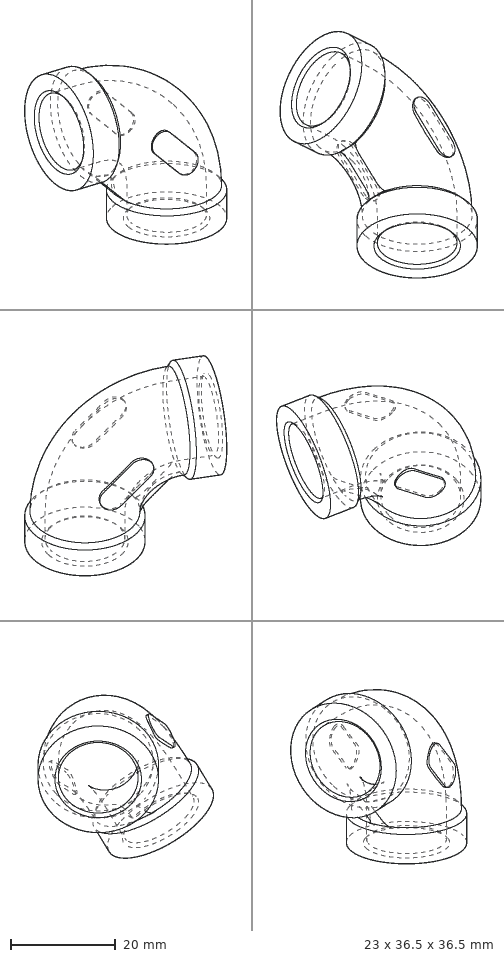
import cadquery as cq
import math


port_reach = 25.0
bend_radius = 18.0
bend_angle = 90
pipe_radius = 10.5
collar_radius = 11.5
bore_radius = 7.6
mouth_chamfer = 0.65

web_thickness = 3.0
web_fillet = 2.0

pad_width = 5.0
pad_setback = 5.5
pad_center_spacing = 8.0
pad_face_offset = 10.8
pad_angle = -45

collar_length = port_reach - bend_radius
collar_chamfer = collar_radius - pipe_radius
pad_length = pad_center_spacing + pad_width
bend_start = cq.Plane(origin=(0, 0, -bend_radius), xDir=(1, 0, 0), normal=(0, 0, 1))
web_side = web_thickness / 2
fillet_center_x = web_side + web_fillet
fillet_center_y = -math.sqrt((pipe_radius + web_fillet) ** 2 - fillet_center_x ** 2)


def port_planes():
    """Planes on the two port faces, with normals pointing into the part."""
    return (
        cq.Plane(origin=(0, -port_reach, 0), xDir=(1, 0, 0), normal=(0, 1, 0)),
        cq.Plane(origin=(0, 0, -port_reach), xDir=(1, 0, 0), normal=(0, 0, 1)),
    )


def sweep_bend(profile):
    """Revolve a profile drawn on the bend start plane through the quarter bend."""
    return profile.revolve(bend_angle, (0, -bend_radius, 0), (1, -bend_radius, 0))


def bend(radius):
    """Quarter torus that joins the two collars."""
    return sweep_bend(cq.Workplane(bend_start).circle(radius))


def collar(plane):
    """Cylindrical collar with a chamfer down to the pipe."""
    return (
        cq.Workplane(plane)
        .circle(collar_radius)
        .extrude(collar_length)
        .faces(cq.selectors.DirectionMinMaxSelector(plane.zDir, True))
        .chamfer(collar_chamfer)
    )


def port_bore(plane):
    """Straight bore from the port face to the bend, with a lead-in chamfer."""
    chamfer_cone = (
        cq.Workplane(plane)
        .circle(bore_radius + mouth_chamfer)
        .workplane(offset=mouth_chamfer)
        .circle(bore_radius)
        .loft(ruled=True)
    )
    return cq.Workplane(plane).circle(bore_radius).extrude(collar_length).union(chamfer_cone)


def corner_web():
    """Filleted rib along the inside of the bend, cut flat at 45 degrees."""
    pipe_share = pipe_radius / (pipe_radius + web_fillet)
    pipe_touch_x = fillet_center_x * pipe_share
    pipe_touch_y = fillet_center_y * pipe_share
    toward_pipe = math.atan2(-fillet_center_y, -fillet_center_x)
    mid_angle = (toward_pipe + math.pi) / 2
    mid_x = fillet_center_x + web_fillet * math.cos(mid_angle)
    mid_y = fillet_center_y + web_fillet * math.sin(mid_angle)

    rib = sweep_bend(
        cq.Workplane(bend_start)
        .moveTo(0, 0)
        .lineTo(pipe_touch_x, pipe_touch_y)
        .threePointArc((mid_x, mid_y), (web_side, fillet_center_y))
        .lineTo(web_side, -bend_radius)
        .lineTo(-web_side, -bend_radius)
        .lineTo(-web_side, fillet_center_y)
        .threePointArc((-mid_x, mid_y), (-pipe_touch_x, pipe_touch_y))
        .close()
    )
    keep = (
        cq.Workplane("YZ")
        .polyline([
            (-pipe_radius, -bend_radius),
            (-bend_radius, -pipe_radius),
            (-bend_radius, 0),
            (0, 0),
            (0, -bend_radius),
        ])
        .close()
        .extrude(pipe_radius, both=True)
    )
    return rib.intersect(keep)


def label_pads():
    """Round-ended pads on both sides, lying along the bend at 45 degrees."""
    return (
        cq.Workplane("YZ")
        .center(-pad_setback, -pad_setback)
        .slot2D(pad_length, pad_width, pad_angle)
        .extrude(pad_face_offset, both=True)
    )


elbow = bend(pipe_radius).union(corner_web()).union(label_pads())
for port in port_planes():
    elbow = elbow.union(collar(port))

elbow = elbow.cut(bend(bore_radius))
for port in port_planes():
    elbow = elbow.cut(port_bore(port))

result = elbow